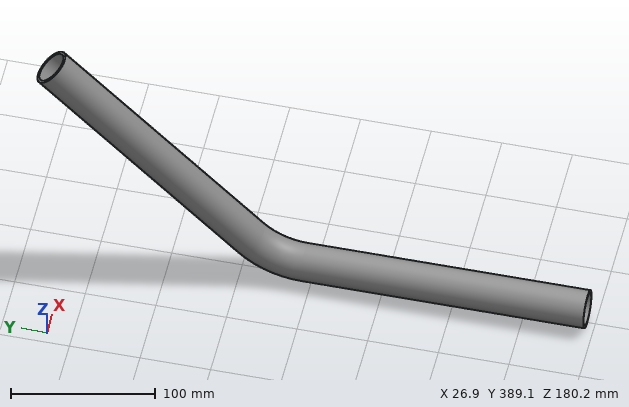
import cadquery as cq
import math

outer_diameter = 26.9
wall_thickness = 2.0
inner_diameter = outer_diameter - 2 * wall_thickness

straight_length = 200.0
inclined_length = 200.0
bend_radius = 54.0
bend_angle = math.radians(45.0)


def bend_point(angle):
    """Centreline point (Y, Z) after turning through the given angle."""
    y = straight_length + bend_radius * math.sin(angle)
    z = bend_radius * (1 - math.cos(angle))
    return (y, z)


def centreline():
    bend_end_y, bend_end_z = bend_point(bend_angle)
    tip = (
        bend_end_y + inclined_length * math.cos(bend_angle),
        bend_end_z + inclined_length * math.sin(bend_angle),
    )
    return (
        cq.Workplane("YZ")
        .lineTo(straight_length, 0)
        .threePointArc(bend_point(bend_angle / 2), (bend_end_y, bend_end_z))
        .lineTo(*tip)
    )


def bent_tube():
    section = cq.Workplane("XZ").circle(outer_diameter / 2).circle(inner_diameter / 2)
    return section.sweep(centreline())


result = bent_tube()